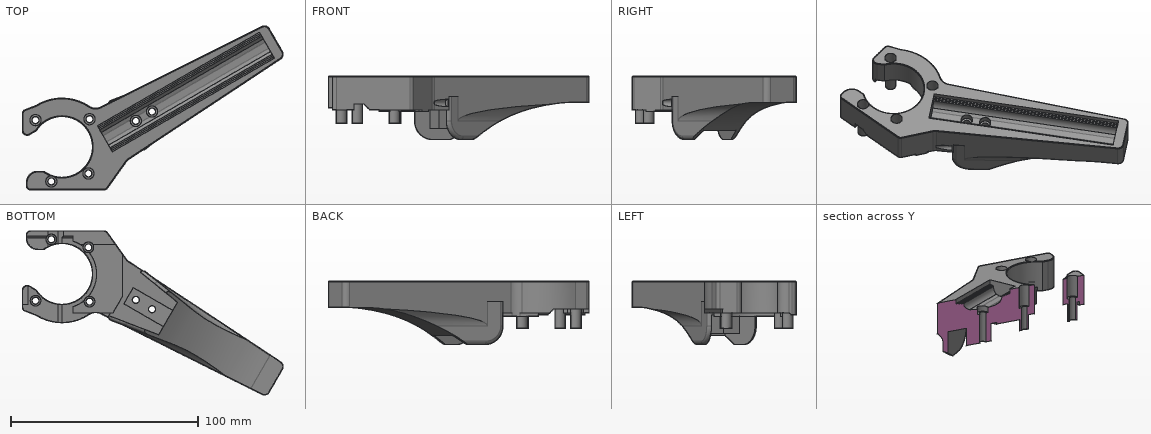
import cadquery as cq
import math


BORE_RADIUS = 16.25
RING_RADIUS = 26.1
PLATE_DEPTH = 17.0
RING_END_ANGLE = 122.0
BORE_START_ANGLE = 148.0
BOTTOM_Y = -23.0
LOWER_RIGHT_X = 23.6
LOWER_JAW_X = -19.05
LOWER_JAW_TOP_Y = -13.05
LOWER_TIP_RADIUS = 6.0
UPPER_JAW_X = -21.2
UPPER_JAW_TOP_Y = 19.3
UPPER_JAW_TIP_Y = 4.2
UPPER_TIP_RADIUS = 2.6
JAW_CORNER = 2.2
TOP_CHAMFER = 0.4

LIP_DEPTH = 18.0
LIP_INNER_Y = -20.3
RELIEF_DEPTH = 15.0
RELIEF_LEFT_X = -7.5
RELIEF_RIGHT_X = -2.1
JAW_LIP_RIGHT_X = -18.2
JAW_LIP_TOP_Y = 16.3
PAD_DEPTH = 18.9
PAD_LEFT_X = 5.9
PAD_RIGHT_X = 32.4
PAD_BOTTOM_Y = -15.6
PAD_TOP_Y = 21.0
RECESS_RADIUS = 18.5

PEG_CENTRES = [(-14.15, 14.3), (14.7, 14.8), (14.1, -14.2), (-5.7, -18.45)]
PEG_DIAMETER = 5.7
PEG_DEPTH = 25.2
HOLE_DIAMETER = 3.6
COUNTERBORE_DIAMETER = 6.0
COUNTERBORE_DEPTH = 12.0

ARM_ANGLE = 30.0
ARM_SIDE_OFFSET = 7.7
ARM_END = 127.5
ARM_END_HALF_WIDTH = 9.85
ARM_TAPER = math.tan(math.radians(3.45))
ARM_CORNER = 3.0
ARM_UPPER_BLEND = 6.0
ARM_LOWER_START = 26.6
ARM_LOWER_BLEND = 5.0
ARM_ROOT = 34.0
ARM_ROOT_DEPTH = 18.0
ARM_TIP_DEPTH = 14.0

FIN_DEPTH = 34.0
FIN_TOP_DEPTH = 11.0
FIN_FRONT_LOWER = 36.0
FIN_FRONT_UPPER = 32.5
FIN_END = 118.0
FIN_HALF_WIDTH = 16.0
FIN_TAPER = math.tan(math.radians(9.0))
FIN_FRONT_RADIUS = 10.0
FIN_EDGE_RADIUS = 1.95
FIN_SWEEP_RADIUS = 115.0
SCOOP_RADIUS = 10.0
SCOOP_DEPTH = ARM_TIP_DEPTH + SCOOP_RADIUS

FIN_WALL = 2.0
CAVITY_END = 61.0
BLOCK_FRONT = 36.6
BLOCK_HALF_WIDTH = 5.0
BLOCK_DEPTH = 28.0
ARM_HOLES = [41.1, 51.1]
ARM_COUNTERBORE_DEPTH = 11.0

TRAY_START = 22.0
TRAY_LENGTH = 100.0
TRAY_HALF_WIDTH = 8.0
TRAY_WALL_DEPTH = 2.5
TRAY_DEPTH = 8.0
STEP_WIDTH = 0.8
STEP_DROP = 0.3
STEP_COUNT = 3
BOWL_MIDDLE_HALF_WIDTH = 5.1
BOWL_MIDDLE_DEPTH = 5.9
BOWL_FACET_HALF_WIDTH = 3.9
BOWL_FACET_DEPTH = 7.4
BOWL_FLOOR_HALF_WIDTH = 1.9

GROOVE_RADIUS = 2.0
GROOVE_DEPTH = 14.3
GROOVE_TILT = 12.0
GROOVE_LENGTH = 8.5

SPARE = 5.0

COS = math.cos(math.radians(ARM_ANGLE))
SIN = math.sin(math.radians(ARM_ANGLE))
ARM_ORIGIN = (ARM_SIDE_OFFSET * SIN, -ARM_SIDE_OFFSET * COS)


def arm_plane(z=0.0):
    return cq.Plane(origin=(*ARM_ORIGIN, z), xDir=(COS, SIN, 0), normal=(0, 0, 1))


def arm_point(along, across):
    """Plan position of a point given in the arm frame."""
    x = ARM_ORIGIN[0] + along * COS - across * SIN
    y = ARM_ORIGIN[1] + along * SIN + across * COS
    return (x, y)


def arm_half_width(along):
    return ARM_END_HALF_WIDTH + (ARM_END - along) * ARM_TAPER


def fin_half_width(along):
    return FIN_HALF_WIDTH - (along - FIN_FRONT_LOWER) * FIN_TAPER


def on_circle(radius, degrees):
    angle = math.radians(degrees)
    return (radius * math.cos(angle), radius * math.sin(angle))


def box(x0, x1, y0, y1, z0, z1):
    return cq.Workplane("XY").box(x1 - x0, y1 - y0, z1 - z0, centered=False).translate((x0, y0, z0))


def arm_side_meets_ring():
    """Plan position where the upper arm side runs into the ring's outer circle."""
    side = math.radians(ARM_ANGLE) - math.atan(ARM_TAPER)
    end_x, end_y = arm_point(ARM_END, ARM_END_HALF_WIDTH)
    along = end_x * math.cos(side) + end_y * math.sin(side)
    across = end_y * math.cos(side) - end_x * math.sin(side)
    back = along - math.sqrt(RING_RADIUS**2 - across**2)
    return (end_x - back * math.cos(side), end_y - back * math.sin(side))


def outline(depth):
    """Clamp jaws and arm as one prism below the top face."""
    lower_left = (LOWER_JAW_X, BOTTOM_Y)
    lower_right = (LOWER_RIGHT_X, BOTTOM_Y)
    arm_lower_root = arm_point(ARM_LOWER_START, -arm_half_width(ARM_LOWER_START))
    arm_lower_end = arm_point(ARM_END, -ARM_END_HALF_WIDTH)
    arm_upper_end = arm_point(ARM_END, ARM_END_HALF_WIDTH)
    arm_upper_root = arm_side_meets_ring()
    upper_left = (UPPER_JAW_X, UPPER_JAW_TOP_Y)
    upper_tip = (UPPER_JAW_X, UPPER_JAW_TIP_Y)
    lower_top = (LOWER_JAW_X, LOWER_JAW_TOP_Y)
    mouth_x = -math.sqrt(BORE_RADIUS**2 - LOWER_JAW_TOP_Y**2)
    prism = (
        cq.Workplane("XY")
        .moveTo(*lower_left)
        .lineTo(*lower_right)
        .lineTo(*arm_lower_root)
        .lineTo(*arm_lower_end)
        .lineTo(*arm_upper_end)
        .lineTo(*arm_upper_root)
        .threePointArc(on_circle(RING_RADIUS, 90), on_circle(RING_RADIUS, RING_END_ANGLE))
        .lineTo(*upper_left)
        .lineTo(*upper_tip)
        .lineTo(*on_circle(BORE_RADIUS, BORE_START_ANGLE))
        .threePointArc((BORE_RADIUS, 0), (mouth_x, LOWER_JAW_TOP_Y))
        .lineTo(*lower_top)
        .close()
        .extrude(-depth)
    )
    rounded_corners = [
        (lower_left, JAW_CORNER),
        (lower_right, JAW_CORNER),
        (arm_lower_root, ARM_LOWER_BLEND),
        (arm_lower_end, ARM_CORNER),
        (arm_upper_end, ARM_CORNER),
        (arm_upper_root, ARM_UPPER_BLEND),
        (upper_left, JAW_CORNER),
        (upper_tip, UPPER_TIP_RADIUS),
        (lower_top, LOWER_TIP_RADIUS),
    ]
    for corner, radius in rounded_corners:
        edge = cq.selectors.NearestToPointSelector((*corner, -depth / 2))
        prism = prism.edges("|Z").edges(edge).fillet(radius)
    return prism


def along_arm_zone(start, end):
    """Tall block covering the part between two distances along the arm."""
    reach = 2 * RING_RADIUS
    return (
        cq.Workplane(arm_plane())
        .moveTo(start, -reach)
        .lineTo(end, -reach)
        .lineTo(end, reach)
        .lineTo(start, reach)
        .close()
        .extrude(-FIN_DEPTH - SPARE)
    )


def underside_relief(left_x, far_y):
    """Cutter raising the underside of one jaw, ending in a 45 degree ramp on the right."""
    ramp = LIP_DEPTH - RELIEF_DEPTH
    return (
        cq.Workplane("XZ")
        .moveTo(left_x, -RELIEF_DEPTH)
        .lineTo(RELIEF_RIGHT_X, -RELIEF_DEPTH)
        .lineTo(RELIEF_RIGHT_X + ramp, -LIP_DEPTH)
        .lineTo(left_x, -LIP_DEPTH)
        .close()
        .extrude(-far_y)
    )


def clamp_plate():
    plate = outline(PLATE_DEPTH)
    pad = outline(PAD_DEPTH).intersect(
        box(PAD_LEFT_X, PAD_RIGHT_X, PAD_BOTTOM_Y, PAD_TOP_Y, -PAD_DEPTH, 0)
    )
    lip_step = LIP_DEPTH - PLATE_DEPTH
    lip_zone = (
        cq.Workplane("YZ")
        .moveTo(BOTTOM_Y, 0)
        .lineTo(BOTTOM_Y, -LIP_DEPTH)
        .lineTo(LIP_INNER_Y, -LIP_DEPTH)
        .lineTo(LIP_INNER_Y + lip_step, -PLATE_DEPTH)
        .lineTo(LIP_INNER_Y + lip_step, 0)
        .close()
        .extrude(2 * RING_RADIUS, both=True)
    )
    lip = outline(LIP_DEPTH).intersect(lip_zone)
    lower_relief = underside_relief(RELIEF_LEFT_X, BOTTOM_Y)
    jaw_lip = box(UPPER_JAW_X - SPARE, JAW_LIP_RIGHT_X, 0, JAW_LIP_TOP_Y, -PLATE_DEPTH, 0)
    upper_relief = underside_relief(UPPER_JAW_X - SPARE, RING_RADIUS + SPARE).cut(jaw_lip)
    shoulder = outline(LIP_DEPTH).intersect(
        box(PAD_LEFT_X, 2 * PAD_RIGHT_X, BOTTOM_Y, PAD_TOP_Y, -LIP_DEPTH, 0)
    )
    recess = cq.Workplane("XY").circle(RECESS_RADIUS).extrude(-PAD_DEPTH)
    thick_areas = pad.union(shoulder).cut(recess).union(lip)
    clamp_zone = along_arm_zone(-2 * RING_RADIUS, ARM_ROOT)
    return plate.union(thick_areas).cut(lower_relief).cut(upper_relief).intersect(clamp_zone)


def arm_scoop(side):
    """Concave cutter that carries the tip underside down into one fin wall.

    Its section plane has x pointing outwards from the wall, so y points up on the
    upper side (side = 1) and down on the lower side (side = -1).
    """
    tilt = -side * math.atan(FIN_TAPER)
    angle = math.radians(ARM_ANGLE) + tilt
    start = arm_point(FIN_FRONT_LOWER, side * fin_half_width(FIN_FRONT_LOWER))
    direction = (math.cos(angle), math.sin(angle), 0)
    outward = (-side * direction[1], side * direction[0], 0)
    plane = cq.Plane(origin=(*start, 0), xDir=outward, normal=direction)
    rise = SCOOP_RADIUS * (1 - math.sqrt(0.5))
    return (
        cq.Workplane(plane)
        .moveTo(0, -side * SCOOP_DEPTH)
        .threePointArc(
            (rise, -side * (ARM_TIP_DEPTH + rise)),
            (SCOOP_RADIUS, -side * ARM_TIP_DEPTH),
        )
        .lineTo(2 * SCOOP_RADIUS, -side * ARM_TIP_DEPTH)
        .lineTo(2 * SCOOP_RADIUS, -side * (SCOOP_DEPTH + SPARE))
        .lineTo(0, -side * (SCOOP_DEPTH + SPARE))
        .close()
        .extrude(ARM_END)
    )


def underside_sweep():
    """Cutter below the long arc that runs from the fin's foot up to the arm tip."""
    drop = FIN_DEPTH - ARM_TIP_DEPTH + SPARE
    run = math.sqrt(2 * FIN_SWEEP_RADIUS * drop - drop**2)
    middle_run = run / 2
    middle_drop = FIN_SWEEP_RADIUS - math.sqrt(FIN_SWEEP_RADIUS**2 - middle_run**2)
    plane = cq.Plane(origin=(*ARM_ORIGIN, 0), xDir=(COS, SIN, 0), normal=(SIN, -COS, 0))
    return (
        cq.Workplane(plane)
        .moveTo(ARM_END + SPARE, -ARM_TIP_DEPTH)
        .lineTo(FIN_END, -ARM_TIP_DEPTH)
        .threePointArc(
            (FIN_END - middle_run, -ARM_TIP_DEPTH - middle_drop),
            (FIN_END - run, -ARM_TIP_DEPTH - drop),
        )
        .lineTo(ARM_END + SPARE, -ARM_TIP_DEPTH - drop)
        .close()
        .extrude(2 * RING_RADIUS, both=True)
    )


def fin_prism(inset, front_lower, front_upper, end, top, bottom):
    """Tapered plan of the fin, moved in from its walls by `inset`."""
    return (
        cq.Workplane(arm_plane(-top))
        .moveTo(front_lower, inset - fin_half_width(front_lower))
        .lineTo(end, inset - fin_half_width(end))
        .lineTo(end, fin_half_width(end) - inset)
        .lineTo(front_upper, fin_half_width(front_upper) - inset)
        .close()
        .extrude(top - bottom)
    )


def fin():
    body = fin_prism(0, FIN_FRONT_LOWER, FIN_FRONT_UPPER, FIN_END, FIN_TOP_DEPTH, FIN_DEPTH)
    front = arm_point((FIN_FRONT_LOWER + FIN_FRONT_UPPER) / 2, 0)
    front_edge = cq.selectors.NearestToPointSelector((*front, -FIN_DEPTH))
    body = body.edges(front_edge).fillet(FIN_FRONT_RADIUS)
    middle_z = -(FIN_TOP_DEPTH + SCOOP_DEPTH) / 2
    for along, side in ((FIN_FRONT_LOWER, -1), (FIN_FRONT_UPPER, 1)):
        corner = arm_point(along, side * fin_half_width(along))
        corner_edge = cq.selectors.NearestToPointSelector((*corner, middle_z))
        body = body.edges(corner_edge).fillet(FIN_EDGE_RADIUS)
    return body


def arm():
    beam_start = FIN_FRONT_LOWER + FIN_EDGE_RADIUS
    root = outline(ARM_ROOT_DEPTH).intersect(along_arm_zone(ARM_ROOT, beam_start))
    beam = outline(SCOOP_DEPTH).intersect(along_arm_zone(beam_start, ARM_END + SPARE))
    for side in (-1, 1):
        beam = beam.cut(arm_scoop(side))
    mouth = FIN_FRONT_UPPER - 2 * SPARE
    cavity = fin_prism(FIN_WALL, mouth, mouth, CAVITY_END, ARM_ROOT_DEPTH, FIN_DEPTH + SPARE)
    solid = beam.union(fin()).cut(cavity).union(root)
    block = (
        cq.Workplane(arm_plane(-PLATE_DEPTH))
        .moveTo((BLOCK_FRONT + CAVITY_END) / 2, 0)
        .rect(CAVITY_END - BLOCK_FRONT, 2 * BLOCK_HALF_WIDTH)
        .extrude(PLATE_DEPTH - BLOCK_DEPTH)
    )
    return solid.union(block).cut(underside_sweep())


def tray():
    """Stepped, bowl-bottomed trough cut into the top of the arm."""
    steps = [(TRAY_HALF_WIDTH, SPARE), (TRAY_HALF_WIDTH, -TRAY_WALL_DEPTH)]
    for step in range(STEP_COUNT):
        across = TRAY_HALF_WIDTH - (step + 1) * STEP_WIDTH
        depth = TRAY_WALL_DEPTH + step * STEP_DROP
        steps.append((across, -depth))
        steps.append((across, -depth - STEP_DROP))
    start = arm_point(TRAY_START, 0)
    plane = cq.Plane(origin=(*start, 0), xDir=(-SIN, COS, 0), normal=(COS, SIN, 0))
    return (
        cq.Workplane(plane)
        .polyline(steps)
        .threePointArc(
            (BOWL_MIDDLE_HALF_WIDTH, -BOWL_MIDDLE_DEPTH),
            (BOWL_FACET_HALF_WIDTH, -BOWL_FACET_DEPTH),
        )
        .lineTo(BOWL_FLOOR_HALF_WIDTH, -TRAY_DEPTH)
        .lineTo(-BOWL_FLOOR_HALF_WIDTH, -TRAY_DEPTH)
        .lineTo(-BOWL_FACET_HALF_WIDTH, -BOWL_FACET_DEPTH)
        .threePointArc(
            (-BOWL_MIDDLE_HALF_WIDTH, -BOWL_MIDDLE_DEPTH),
            (-steps[-1][0], steps[-1][1]),
        )
        .polyline([(-x, z) for x, z in reversed(steps[:-1])], includeCurrent=True)
        .close()
        .extrude(TRAY_LENGTH)
    )


def side_groove():
    """Shallow round groove that sinks into the lower arm side towards the fin."""
    end = arm_point(FIN_FRONT_LOWER, -arm_half_width(FIN_FRONT_LOWER))
    angle = math.radians(ARM_ANGLE + GROOVE_TILT) + math.atan(ARM_TAPER)
    backwards = (-math.cos(angle), -math.sin(angle), 0)
    plane = cq.Plane(origin=(*end, -GROOVE_DEPTH), xDir=(0, 0, 1), normal=backwards)
    return cq.Workplane(plane).circle(GROOVE_RADIUS).extrude(GROOVE_LENGTH)


def stepped_holes(centres, counterbore_depth):
    bores = cq.Workplane("XY").pushPoints(centres).circle(HOLE_DIAMETER / 2).extrude(-FIN_DEPTH)
    heads = (
        cq.Workplane("XY")
        .pushPoints(centres)
        .circle(COUNTERBORE_DIAMETER / 2)
        .extrude(-counterbore_depth)
    )
    return bores.union(heads)


def build():
    top_layer = outline(2 * TOP_CHAMFER)
    bevel = top_layer.cut(top_layer.faces(">Z").edges().chamfer(TOP_CHAMFER))
    pegs = (
        cq.Workplane("XY", origin=(0, 0, -COUNTERBORE_DEPTH))
        .pushPoints(PEG_CENTRES)
        .circle(PEG_DIAMETER / 2)
        .extrude(COUNTERBORE_DEPTH - PEG_DEPTH)
    )
    body = clamp_plate().union(arm()).cut(bevel).union(pegs)
    body = body.cut(tray()).cut(side_groove())
    arm_holes = [arm_point(along, 0) for along in ARM_HOLES]
    body = body.cut(stepped_holes(PEG_CENTRES, COUNTERBORE_DEPTH))
    return body.cut(stepped_holes(arm_holes, ARM_COUNTERBORE_DEPTH))


result = build()